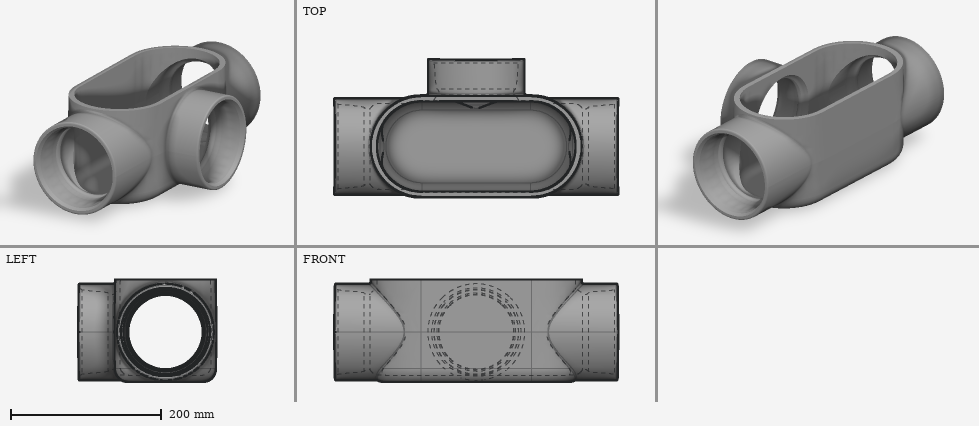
import cadquery as cq
import math


DRAFT = 1.0
RIM_Z = 70.0
BOTTOM_Z = -66.5
BODY_RADIUS = 68.0
BODY_STRAIGHT = 146.8
BOTTOM_FILLET = 18.0

SIDE_WALL = 6.8
CAVITY_RADIUS = BODY_RADIUS - SIDE_WALL
CAVITY_STRAIGHT = 143.8
FLOOR_Z = -57.5
FLOOR_FILLET = 12.0

RUN_REACH = 189.0
BRANCH_REACH = 116.5
PORT_RADIUS = 128.5 / 2
PORT_END_FILLET = 2.3
SADDLE_FILLET = 2.5

MOUTH_RADIUS = 59.5
THREAD_START_DEPTH = 5.5
THREAD_START_RADIUS = 56.0
THREAD_END_DEPTH = 33.0
THREAD_END_RADIUS = 53.7
LIP_START_DEPTH = 40.0
LIP_START_RADIUS = 52.2
LIP_DEPTH = 45.0
LIP_RADIUS = 49.5
LIP_BACK_DEPTH = 48.0
LIP_BACK_RADIUS = 50.5
RELIEF_DEPTH = 61.3
RELIEF_RADIUS = 114.5 / 2
RELIEF_ROUND_DEPTH = 53.0
RELIEF_ROUND_RADIUS = 55.2

TOLERANCE = 0.05

PORTS = [(0, RUN_REACH), (180, RUN_REACH), (90, BRANCH_REACH)]


def drafted_half(straight, radius, end_z):
    """Stadium prism from the parting plane to end_z, narrowing away from Z = 0."""
    width = 2 * radius
    return cq.Workplane("XY").slot2D(straight + width, width).extrude(end_z, taper=DRAFT)


def port_barrel_half(reach):
    """Upper half of a barrel along +X, with a drafted end face and a rounded end."""
    size = 2 * reach
    beyond_end = (
        cq.Workplane("XY")
        .box(size, size, size, centered=(False, True, True))
        .rotate((0, 0, 0), (0, 1, 0), -DRAFT)
        .translate((reach, 0, 0))
    )
    above_parting = cq.Workplane("XY").box(size, size, size, centered=(False, True, False))
    barrel = cq.Workplane("YZ").circle(PORT_RADIUS).extrude(reach + PORT_RADIUS).cut(beyond_end)
    return barrel.edges("%ELLIPSE").fillet(PORT_END_FILLET).intersect(above_parting)


def is_seam(edge):
    """True for a curved edge that lies on the barrel of the port along +X."""
    on_barrel = all(
        abs(math.hypot(point.y, point.z) - PORT_RADIUS) < TOLERANCE
        for point in edge.positions([0.1, 0.3, 0.5, 0.7, 0.9])
    )
    return on_barrel and edge.geomType() != "LINE"


def blend_seam(shell, reach):
    """Round the seam between the body and the port along +X."""
    near_body = cq.selectors.BoxSelector(
        (0, -reach, -reach),
        (reach - 2 * PORT_END_FILLET, reach, reach),
    )
    seam = shell.edges(near_body).filter(is_seam)
    return shell.newObject(seam.vals()).fillet(SADDLE_FILLET)


def turned(shape, angle):
    return shape.rotate((0, 0, 0), (0, 0, 1), angle)


def add_ports(half, is_lower):
    """Join the barrels to one half of the body, turning each port to +X in turn."""
    for angle, reach in PORTS:
        barrel = port_barrel_half(reach)
        if is_lower:
            barrel = barrel.mirror("XY")
        joined = turned(half, -angle).union(barrel)
        half = turned(blend_seam(joined, reach), angle)
    return half


def port_bore(reach):
    """Lead-in, tapered thread bore, rounded stop lip and plain relief bore along +X."""
    return (
        cq.Workplane("XY")
        .moveTo(0, 0)
        .lineTo(reach, 0)
        .lineTo(reach, MOUTH_RADIUS)
        .lineTo(reach - THREAD_START_DEPTH, THREAD_START_RADIUS)
        .lineTo(reach - THREAD_END_DEPTH, THREAD_END_RADIUS)
        .lineTo(reach - LIP_START_DEPTH, LIP_START_RADIUS)
        .threePointArc(
            (reach - LIP_DEPTH, LIP_RADIUS),
            (reach - LIP_BACK_DEPTH, LIP_BACK_RADIUS),
        )
        .threePointArc(
            (reach - RELIEF_ROUND_DEPTH, RELIEF_ROUND_RADIUS),
            (reach - RELIEF_DEPTH, RELIEF_RADIUS),
        )
        .lineTo(0, RELIEF_RADIUS)
        .close()
        .revolve(360, (0, 0, 0), (1, 0, 0))
    )


upper_body = drafted_half(BODY_STRAIGHT, BODY_RADIUS, RIM_Z)
lower_body = drafted_half(BODY_STRAIGHT, BODY_RADIUS, BOTTOM_Z)
lower_body = lower_body.faces("<Z").edges().fillet(BOTTOM_FILLET)
upper_outside = add_ports(upper_body, False)
lower_outside = add_ports(lower_body, True)
outside = upper_outside.union(lower_outside, clean=False)

upper_cavity = drafted_half(CAVITY_STRAIGHT, CAVITY_RADIUS, RIM_Z)
lower_cavity = drafted_half(CAVITY_STRAIGHT, CAVITY_RADIUS, FLOOR_Z)
lower_cavity = lower_cavity.faces("<Z").edges().fillet(FLOOR_FILLET)
result = outside.cut(upper_cavity.union(lower_cavity), clean=False)

for angle, reach in PORTS:
    result = result.cut(turned(port_bore(reach), angle), clean=False)